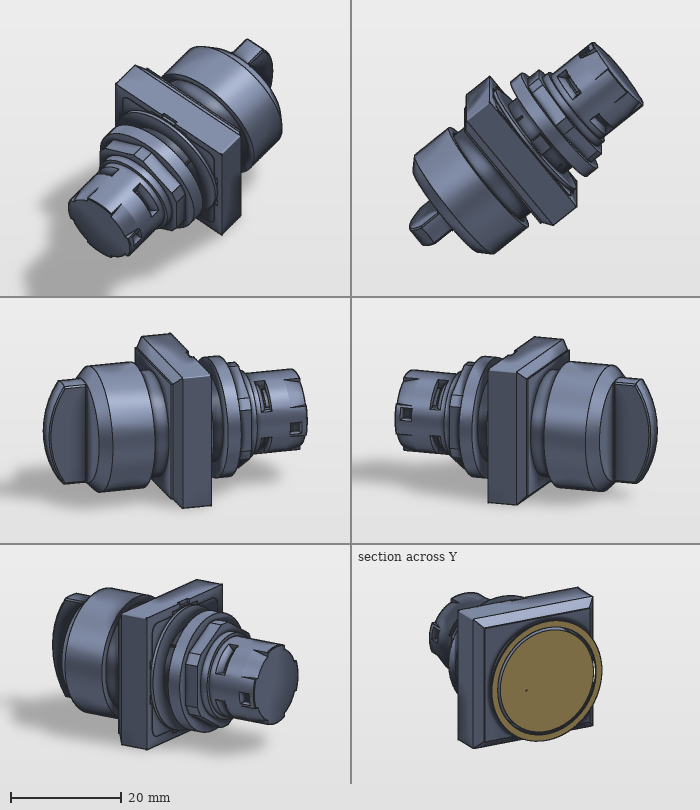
import cadquery as cq
import math


OVERALL_LENGTH = 47.31
PLUNGER_END = -19.14
PLUNGER_TOP = -9.41
COLLAR_TOP = -7.98
NUT_TOP = -5.43
WASHER_TOP = -2.95
KEY_END = -2.25
PANEL_SEAT = 0.0
BEZEL_BACK = 0.6
BEZEL_SHOULDER = 6.14
BEZEL_RIM = 7.55
BEZEL_TOP = 7.88
KNOB_BOTTOM = 11.1
KNOB_TOP = 21.08
HANDLE_SHOULDER = 25.2
HANDLE_TIP = PLUNGER_END + OVERALL_LENGTH

PLUNGER_DIA = 14.7
NECK_DIA = 16.0
STEM_DIA = 19.5
WASHER_DIA = 22.0
KNOB_DIA = 23.0
SEAT_DIA = 23.0
PLUNGER_END_CHAMFER = 0.15
KNOB_CHAMFER = 2.0

HANDLE_THICKNESS = 4.1
HANDLE_DIA = KNOB_DIA - 2 * KNOB_CHAMFER
HANDLE_CHAMFER = 0.265
HANDLE_FOOT_HEIGHT = 0.25
HANDLE_FOOT_FLARE = 0.12
KNOB_BORE_DIA = 20.4
KNOB_BORE_DEPTH = 0.5

BEZEL_SIDE = 25.0
BEZEL_TOP_SIDE = 21.9
BEZEL_EDGE_FILLET = 0.3
BEZEL_BASE_HEIGHT = 0.15
NOTCH_WIDTH = 3.05
NOTCH_DEPTH = 0.75
NOTCH_HEIGHT = 0.6
PAD_SIDE = 21.5
PAD_CORNER_RADIUS = 1.75
PAD_HEIGHT = 0.08
PAD_TAB_REACH = SEAT_DIA / 2
PAD_TAB_WIDTH = 8.15
PAD_SIDE_TAB_GAP = 4.95

CORNER_RIB_SIDE = 11.65
CORNER_RIB_LENGTH = 1.4
KEY_WIDTH = 3.0
KEY_REACH = 9.45

NUT_FLATS = 18.0
NUT_CORNER_FLATS = 19.5
NUT_TURN = 30.0

WINDOW_START = 2.47
WINDOW_LOW = PLUNGER_END + 6.62
WINDOW_HIGH = PLUNGER_END + 8.62
WINDOW_SLOPE_END = PLUNGER_END + 7.62
WINDOW_FLOOR_RADIUS = 6.25
POCKET_START = 2.8
POCKET_HIGH = PLUNGER_END + 7.33
POCKET_FLOOR_DIA = 12.1
END_NOTCH_START = 2.77
END_NOTCH_LENGTH = 3.05
END_NOTCH_RADIUS = 6.65

SIDE_HOLE_WIDTH = 2.3
SIDE_HOLE_LOW = PLUNGER_END + 1.03
SIDE_HOLE_HIGH = PLUNGER_END + 3.2
SIDE_HOLE_DEPTH = 2.0

CUT_MARGIN = 1.0


def block(x0, x1, y0, y1, z0, z1):
    return cq.Workplane("XY").box(x1 - x0, y1 - y0, z1 - z0, centered=False).translate((x0, y0, z0))


def centered_block(width, height, y0, y1):
    return block(-width / 2, width / 2, y0, y1, -height / 2, height / 2)


def turned(points):
    """Revolve a closed (radius, y) outline about the Y axis."""
    return cq.Workplane("XY").polyline(points).close().revolve(360, (0, 0), (0, 1))


def disc(diameter, y0, y1):
    return turned([(0, y0), (diameter / 2, y0), (diameter / 2, y1), (0, y1)])


def section_at(y):
    """Sketch plane across the axis at station y, whose normal points to -Y."""
    return cq.Workplane("XZ", origin=(0, y, 0))


def four_quadrants(cutter):
    """Repeat a cutter in all four quadrants around the axis."""
    cutters = cutter
    for turn in range(1, 4):
        cutters = cutters.union(cutter.rotate((0, 0, 0), (0, 1, 0), 90 * turn))
    return cutters


def quadrant_block(start, y0, y1):
    return block(start, PLUNGER_DIA, y0, y1, start, PLUNGER_DIA)


def make_knob():
    knob = disc(KNOB_DIA, KNOB_BOTTOM, KNOB_TOP).faces(">Y").chamfer(KNOB_CHAMFER)
    return knob.cut(disc(KNOB_BORE_DIA, KNOB_BOTTOM, KNOB_BOTTOM + KNOB_BORE_DEPTH))


def make_handle():
    half_width = HANDLE_DIA / 2
    side_view = (
        cq.Workplane("YZ")
        .moveTo(KNOB_TOP, -half_width)
        .lineTo(HANDLE_SHOULDER, -half_width)
        .threePointArc((HANDLE_TIP, 0), (HANDLE_SHOULDER, half_width))
        .lineTo(KNOB_TOP, half_width)
        .close()
    )
    blade = side_view.extrude(HANDLE_THICKNESS / 2, both=True)
    blade = blade.intersect(disc(HANDLE_DIA, KNOB_TOP, HANDLE_TIP))
    blade = blade.faces("<X or >X").edges("not <Y").chamfer(HANDLE_CHAMFER)
    foot_width = HANDLE_THICKNESS + 2 * HANDLE_FOOT_FLARE
    foot = centered_block(foot_width, HANDLE_DIA, KNOB_TOP, KNOB_TOP + HANDLE_FOOT_HEIGHT)
    foot = foot.intersect(disc(HANDLE_DIA, KNOB_TOP, HANDLE_TIP))
    return blade.union(foot)


def make_bezel():
    base_top = BEZEL_BACK + PAD_HEIGHT + BEZEL_BASE_HEIGHT
    base = centered_block(BEZEL_SIDE, BEZEL_SIDE, BEZEL_BACK + PAD_HEIGHT, base_top)
    frame = centered_block(BEZEL_SIDE, BEZEL_SIDE, base_top, BEZEL_RIM)
    frame = frame.edges("|Y").fillet(BEZEL_EDGE_FILLET)
    wall = centered_block(BEZEL_SIDE, BEZEL_SIDE, base_top, BEZEL_SHOULDER)
    taper = (
        section_at(BEZEL_SHOULDER)
        .rect(BEZEL_SIDE, BEZEL_SIDE)
        .workplane(offset=BEZEL_SHOULDER - BEZEL_RIM)
        .rect(BEZEL_TOP_SIDE, BEZEL_TOP_SIDE)
        .loft(ruled=True)
    )
    frame = frame.intersect(wall.union(taper))
    rim = centered_block(BEZEL_TOP_SIDE, BEZEL_TOP_SIDE, BEZEL_RIM, BEZEL_TOP)
    bezel = base.union(frame).union(rim).union(make_pad())
    notch_bottom = BEZEL_SIDE / 2 - NOTCH_DEPTH
    notch = block(
        -NOTCH_WIDTH / 2, NOTCH_WIDTH / 2, BEZEL_BACK, BEZEL_BACK + NOTCH_HEIGHT, notch_bottom, BEZEL_SIDE
    )
    return bezel.cut(notch)


def make_pad():
    """Thin raised pad on the back of the bezel, with tabs on its four sides."""
    pad_top = BEZEL_BACK + PAD_HEIGHT
    pad = centered_block(PAD_SIDE, PAD_SIDE, BEZEL_BACK, pad_top).edges("|Y").fillet(PAD_CORNER_RADIUS)
    pad = pad.union(centered_block(PAD_TAB_WIDTH, 2 * PAD_TAB_REACH, BEZEL_BACK, pad_top))
    side_tabs = centered_block(2 * PAD_TAB_REACH, PAD_TAB_WIDTH, BEZEL_BACK, pad_top)
    side_tabs = side_tabs.cut(centered_block(2 * PAD_TAB_REACH, PAD_SIDE_TAB_GAP, BEZEL_BACK, pad_top))
    return pad.union(side_tabs)


def make_neck():
    neck = disc(NECK_DIA, PLUNGER_TOP, PANEL_SEAT)
    ribs = centered_block(CORNER_RIB_SIDE, CORNER_RIB_SIDE, -CORNER_RIB_LENGTH, PANEL_SEAT)
    key = block(-KEY_WIDTH / 2, KEY_WIDTH / 2, KEY_END, PANEL_SEAT, -KEY_REACH, 0)
    return neck.union(ribs).union(key)


def hexagon(flats, y0, y1):
    across_corners = flats / math.cos(math.pi / 6)
    return section_at(y1).polygon(6, across_corners).extrude(y1 - y0)


def make_nut():
    """Hexagon nut whose six corners are cut by a second, turned hexagon."""
    nut = hexagon(NUT_FLATS, COLLAR_TOP, NUT_TOP).rotate((0, 0, 0), (0, 1, 0), NUT_TURN)
    return nut.intersect(hexagon(NUT_CORNER_FLATS, COLLAR_TOP, NUT_TOP))


def window_cutter():
    """Window with a conical lead-in and a deeper pocket in its floor."""
    outer_radius = PLUNGER_DIA / 2
    reach = outer_radius + CUT_MARGIN
    window = turned(
        [
            (WINDOW_FLOOR_RADIUS, WINDOW_LOW),
            (reach, WINDOW_LOW),
            (reach, WINDOW_HIGH),
            (outer_radius, WINDOW_HIGH),
            (WINDOW_FLOOR_RADIUS, WINDOW_SLOPE_END),
        ]
    ).intersect(quadrant_block(WINDOW_START, WINDOW_LOW, WINDOW_HIGH))
    pocket = quadrant_block(POCKET_START, WINDOW_LOW, POCKET_HIGH)
    pocket = pocket.intersect(disc(2 * reach, WINDOW_LOW, POCKET_HIGH))
    return window.union(pocket.cut(disc(POCKET_FLOOR_DIA, WINDOW_LOW, POCKET_HIGH)))


def end_notch_cutter():
    """Tapered notch that deepens toward the free end of the plunger."""
    outer_radius = PLUNGER_DIA / 2
    reach = outer_radius + CUT_MARGIN
    notch_top = PLUNGER_END + END_NOTCH_LENGTH
    ring = turned(
        [(END_NOTCH_RADIUS, PLUNGER_END), (reach, PLUNGER_END), (reach, notch_top), (outer_radius, notch_top)]
    )
    return ring.intersect(quadrant_block(END_NOTCH_START, PLUNGER_END, notch_top))


def make_plunger():
    plunger = disc(PLUNGER_DIA, PLUNGER_END, PLUNGER_TOP).faces("<Y").chamfer(PLUNGER_END_CHAMFER)
    plunger = plunger.cut(four_quadrants(window_cutter()))
    plunger = plunger.cut(four_quadrants(end_notch_cutter()))
    side_hole = block(
        PLUNGER_DIA / 2 - SIDE_HOLE_DEPTH, PLUNGER_DIA, SIDE_HOLE_LOW, SIDE_HOLE_HIGH, 0, SIDE_HOLE_WIDTH
    )
    opposite_hole = side_hole.rotate((0, 0, 0), (0, 1, 0), 180)
    return plunger.cut(side_hole).cut(opposite_hole)


stem = disc(STEM_DIA, BEZEL_TOP, KNOB_BOTTOM + KNOB_BORE_DEPTH)
seat = disc(SEAT_DIA, PANEL_SEAT, BEZEL_BACK)
washer = disc(WASHER_DIA, NUT_TOP, WASHER_TOP)

result = make_bezel()
for section in (stem, make_knob(), make_handle(), seat, make_neck(), washer, make_nut(), make_plunger()):
    result = result.union(section)